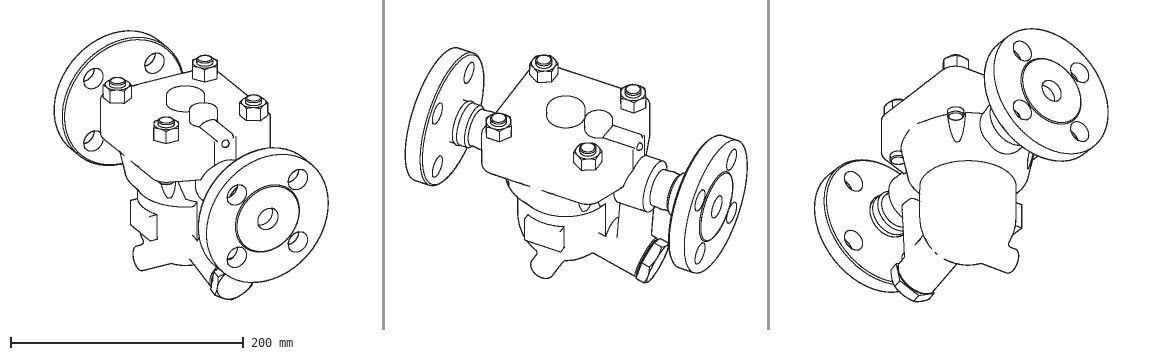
import cadquery as cq
import math


inlet_face_x = -125.5
outlet_face_x = 145.5
flange_diameter = 120.0
flange_thickness = 16.0
flange_chamfer = 1.5
raised_height = 1.0
raised_base_diameter = 63.0
raised_face_diameter = 61.0
bolt_circle_diameter = 85.0
flange_hole_count = 4
first_hole_angle = 45
flange_hole_diameter = 19.0
bore_diameter = 20.0
bore_depth = 10.0
hub_diameter = 38.0
hub_fillet = 4.0
hub_bead_height = 1.0
neck_diameter = 33.0
neck_bead_height = 0.6
port_diameter = 46.0
hub_bead_start, hub_bead_end = 25.7, 29.8
hub_end, neck_start = 37.4, 39.7
neck_bead_start, neck_bead_end = 44.6, 51.4
neck_end, port_start = 56.1, 59.5
outlet_port_inner_x = 57.0
outlet_port_fillet = 2.0

bolt_offset = 43.0
bolt_sites = [(sx * bolt_offset, sy * bolt_offset) for sx in (-1, 1) for sy in (-1, 1)]
corner_radius = 14.5
plate_half_width = bolt_offset + corner_radius
plate_right_x = 70.2
plate_side_angle = math.radians(20)
plate_top_z = 44.0
plate_bottom_z = 6.7
plate_top_fillet = 1.5
plate_bottom_fillet = 2.9
undercut_start_z = 20.5
undercut_angle = math.radians(19)

bolt_diameter = 14.0
bolt_top_z = 60.6
bolt_bottom_z = 1.2
bolt_chamfer = 1.0
nut_across_flats = 21.2
nut_height = 12.6
nut_chamfer_angle = math.radians(30)

bowl_radius = 41.5
dome_center_z = -63.0
shoulder_radius = 52.0
shoulder_top_z = -19.0
shoulder_bottom_z = -32.0
shoulder_fillet = 1.5
throat_radius = plate_half_width
throat_clip_x = 45.5
bolt_clearance_radius = 8.9
rib_half_width = 14.0
rib_fillet = 3.0

pad_width = 35.0
pad_top_z = -43.3
pad_bottom_z = -67.0
pad_face_y = -44.7
pad_fillet = 0.6

drain_diameter = 22.0
drain_axis_z = -91.3
drain_face_y = -46.2
drain_fillet = 1.2
drain_root_fillet = 3.0

strainer_angle = 15.0
strainer_diameter = 38.0
strainer_length = 81.0
strainer_chamfer = 1.0
strainer_root_fillet = 4.0
cap_across_flats = 35.9
cap_end = 91.5
cap_chamfer_angle = math.radians(30)
cap_neck_diameter = 34.0
cap_gap = 1.0
riser_length_x = 22.5
riser_half_width = 16.0
riser_corner_radius = 6.5
riser_root_fillet = 2.0
riser_tilt = 4.0
riser_top_x = 70.4
riser_length = 75.0

cap_boss_diameter = 24.0
cap_boss_x = 31.6
fitting_top_z = 56.1
cap_boss_fillet = 1.8
passage_radius = 9.0
passage_axis_z = 41.2
passage_end_fillet = 1.5
stud_radius = 3.4
stud_z = 39.3
disc_diameter = 33.0
disc_bottom_z = 47.1
disc_fillet = 1.8

riser_root = cq.selectors.BoxSelector((50, -20, -80), (84, 20, -60))
strainer_root = cq.selectors.BoxSelector((30, -20, -85), (45, 20, -55))
drain_root = cq.NearestToPointSelector((0, -26.5, -91.8))


def cylinder_z(x, y, bottom_z, top_z, diameter):
    height = top_z - bottom_z
    return cq.Workplane("XY", origin=(x, y, bottom_z)).circle(diameter / 2).extrude(height)


def chamfered_hex(plane, across_flats, length, chamfer_angle):
    """Hexagon prism with a corner on the plane's X direction and its far end bevelled by a cone."""
    flat_radius = across_flats / 2
    corner_radius_hex = flat_radius / math.cos(math.pi / 6)
    prism = cq.Workplane(plane).polygon(6, 2 * corner_radius_hex).extrude(length)
    reach = 2 * corner_radius_hex
    cone_low = length - (reach - flat_radius) * math.tan(chamfer_angle)
    profile = [(0, -reach), (reach, -reach), (reach, cone_low), (flat_radius, length), (0, length)]
    envelope = cq.Workplane("XZ").polyline(profile).close().revolve(360, (0, 0), (0, 1))
    placed = cq.Workplane(envelope.val().moved(cq.Location(plane)))
    return prism.intersect(placed)


def pipe_end(face_x, inward, inner_x):
    """Flange, beaded neck and port, turned about the pipe axis."""
    def station(distance):
        return face_x + inward * distance

    flange_back = raised_height + flange_thickness
    hub_r = hub_diameter / 2
    neck_r = neck_diameter / 2
    flange_r = flange_diameter / 2
    fillet_reach = hub_fillet * (1 - math.sqrt(0.5))
    profile = (
        cq.Workplane("XY")
        .moveTo(face_x, 0)
        .lineTo(face_x, raised_face_diameter / 2)
        .lineTo(station(raised_height), raised_base_diameter / 2)
        .lineTo(station(raised_height), flange_r)
        .lineTo(station(flange_back - flange_chamfer), flange_r)
        .lineTo(station(flange_back), flange_r - flange_chamfer)
        .lineTo(station(flange_back), hub_r + hub_fillet)
        .threePointArc(
            (station(flange_back + fillet_reach), hub_r + fillet_reach),
            (station(flange_back + hub_fillet), hub_r),
        )
        .lineTo(station(hub_bead_start), hub_r)
        .threePointArc(
            (station((hub_bead_start + hub_bead_end) / 2), hub_r + hub_bead_height),
            (station(hub_bead_end), hub_r),
        )
        .lineTo(station(hub_end), hub_r)
        .lineTo(station(neck_start), neck_r)
        .lineTo(station(neck_bead_start), neck_r)
        .threePointArc(
            (station((neck_bead_start + neck_bead_end) / 2), neck_r + neck_bead_height),
            (station(neck_bead_end), neck_r),
        )
        .lineTo(station(neck_end), neck_r)
        .lineTo(station(port_start), port_diameter / 2)
        .lineTo(inner_x, port_diameter / 2)
        .lineTo(inner_x, 0)
        .close()
    )
    turned = profile.revolve(360, (0, 0), (1, 0))
    face = cq.Workplane(cq.Plane(origin=(face_x, 0, 0), xDir=(0, 1, 0), normal=(inward, 0, 0)))
    bore = face.circle(bore_diameter / 2).extrude(bore_depth)
    holes = (
        face.polarArray(bolt_circle_diameter / 2, first_hole_angle, 360, flange_hole_count)
        .circle(flange_hole_diameter / 2)
        .extrude(flange_back)
    )
    return turned.cut(bore).cut(holes)


def plate():
    """Cover and bowl flange: square on the inlet side, tapering to the outlet side."""
    diagonal = corner_radius * math.sqrt(0.5)
    tangent_x = bolt_offset + corner_radius * math.cos(plate_side_angle)
    tangent_y = bolt_offset + corner_radius * math.sin(plate_side_angle)
    nose_y = tangent_y - (plate_right_x - tangent_x) / math.tan(plate_side_angle)
    arc_angle = (math.pi / 2 + plate_side_angle) / 2
    arc_x = bolt_offset + corner_radius * math.cos(arc_angle)
    arc_y = bolt_offset + corner_radius * math.sin(arc_angle)
    left = -plate_half_width
    inset = bolt_offset + diagonal
    body = (
        cq.Workplane("XY", origin=(0, 0, plate_bottom_z))
        .moveTo(left, -bolt_offset)
        .lineTo(left, bolt_offset)
        .threePointArc((-inset, inset), (-bolt_offset, plate_half_width))
        .lineTo(bolt_offset, plate_half_width)
        .threePointArc((arc_x, arc_y), (tangent_x, tangent_y))
        .lineTo(plate_right_x, nose_y)
        .lineTo(plate_right_x, -nose_y)
        .lineTo(tangent_x, -tangent_y)
        .threePointArc((arc_x, -arc_y), (bolt_offset, -plate_half_width))
        .lineTo(-bolt_offset, -plate_half_width)
        .threePointArc((-inset, -inset), (left, -bolt_offset))
        .close()
        .extrude(plate_top_z - plate_bottom_z)
    )
    body = body.faces(">Z").edges().fillet(plate_top_fillet)
    body = body.faces("<Z").edges().fillet(plate_bottom_fillet)
    undercut_run = undercut_start_z * math.tan(undercut_angle)
    undercut = (
        cq.Workplane("XZ")
        .moveTo(plate_right_x, undercut_start_z)
        .lineTo(plate_right_x + 1, undercut_start_z)
        .lineTo(plate_right_x + 1, 0)
        .lineTo(plate_right_x - undercut_run, 0)
        .close()
        .extrude(plate_half_width, both=True)
    )
    return body.cut(undercut)


def bowl():
    """Domed bowl with a conical shoulder and a throat widening to the plate."""
    diagonal = bowl_radius * math.sqrt(0.5)
    throat_top_z = plate_bottom_z + plate_bottom_fillet
    shell = (
        cq.Workplane("XZ")
        .moveTo(0, dome_center_z - bowl_radius)
        .threePointArc((diagonal, dome_center_z - diagonal), (bowl_radius, dome_center_z))
        .lineTo(bowl_radius, shoulder_bottom_z)
        .lineTo(shoulder_radius, shoulder_top_z)
        .lineTo(throat_radius, plate_bottom_z)
        .lineTo(throat_radius, throat_top_z)
        .lineTo(0, throat_top_z)
        .close()
        .revolve(360, (0, 0), (0, 1))
    )
    shoulder_rim = cq.NearestToPointSelector((-shoulder_radius, 0, shoulder_top_z))
    body = shell.edges("%CIRCLE").edges(shoulder_rim).fillet(shoulder_fillet)
    for x, y in bolt_sites:
        clearance = cylinder_z(x, y, shoulder_top_z, plate_bottom_z, 2 * bolt_clearance_radius)
        body = body.cut(clearance)
    clip_height = plate_bottom_z - shoulder_bottom_z
    clip = cq.Workplane("XY", origin=(throat_clip_x, 0, shoulder_bottom_z)).box(
        bowl_radius, 4 * bowl_radius, clip_height, centered=(False, True, False)
    )
    return body.cut(clip)


def rib():
    """Flat rib down the outlet side of the bowl, blended into it on both sides."""
    blend_center_y = rib_half_width + rib_fillet
    blend_center_x = math.sqrt((bowl_radius + rib_fillet) ** 2 - blend_center_y ** 2)
    contact_scale = bowl_radius / (bowl_radius + rib_fillet)
    contact_x = blend_center_x * contact_scale
    contact_y = blend_center_y * contact_scale
    half_turn = (math.atan2(blend_center_y, blend_center_x) + 2.5 * math.pi) / 2
    mid_x = blend_center_x + rib_fillet * math.cos(half_turn)
    mid_y = blend_center_y + rib_fillet * math.sin(half_turn)
    return (
        cq.Workplane("XY", origin=(0, 0, dome_center_z))
        .moveTo(0, contact_y)
        .lineTo(contact_x, contact_y)
        .threePointArc((mid_x, mid_y), (blend_center_x, rib_half_width))
        .lineTo(throat_clip_x, rib_half_width)
        .lineTo(throat_clip_x, -rib_half_width)
        .lineTo(blend_center_x, -rib_half_width)
        .threePointArc((mid_x, -mid_y), (contact_x, -contact_y))
        .lineTo(0, -contact_y)
        .close()
        .extrude(shoulder_top_z - dome_center_z)
    )


def name_pad():
    return (
        cq.Workplane("XY", origin=(0, pad_face_y, pad_bottom_z))
        .box(pad_width, -pad_face_y, pad_top_z - pad_bottom_z, centered=(True, False, False))
        .faces("<Y").edges().fillet(pad_fillet)
    )


def drain_boss():
    return (
        cq.Workplane("XZ", origin=(0, 0, drain_axis_z))
        .circle(drain_diameter / 2)
        .extrude(-drain_face_y)
        .faces("<Y").edges().fillet(drain_fillet)
    )


def strainer_plane(distance):
    """Plane square to the strainer axis, its X direction pointing upwards."""
    angle = math.radians(strainer_angle)
    along = (math.cos(angle), 0, -math.sin(angle))
    across = (math.sin(angle), 0, math.cos(angle))
    origin = (along[0] * distance, 0, dome_center_z + along[2] * distance)
    return cq.Plane(origin=origin, xDir=across, normal=along)


def strainer_tube():
    """Tube sloping down from the dome centre towards the outlet side."""
    return (
        cq.Workplane(strainer_plane(0))
        .circle(strainer_diameter / 2)
        .extrude(strainer_length)
        .faces(">X").edges().chamfer(strainer_chamfer)
    )


def strainer_cap():
    """Hexagon cap on a short round neck, with one corner pointing up."""
    neck = cq.Workplane(strainer_plane(strainer_length)).circle(cap_neck_diameter / 2).extrude(cap_gap)
    cap_start = strainer_length + cap_gap
    cap = chamfered_hex(strainer_plane(cap_start), cap_across_flats, cap_end - cap_start, cap_chamfer_angle)
    return neck.union(cap)


def riser():
    """Rounded passage from the strainer tube up to the outlet port."""
    return (
        cq.Workplane("XY")
        .rect(riser_length_x, 2 * riser_half_width)
        .extrude(-riser_length)
        .edges("|Z").fillet(riser_corner_radius)
        .rotate((0, 0, 0), (0, 1, 0), riser_tilt)
        .translate((riser_top_x, 0, 0))
    )


def bolt_and_nut(x, y):
    """Stud through the plate with its nut; nuts on one diagonal are turned by 90 degrees."""
    bolt = cylinder_z(x, y, bolt_bottom_z, bolt_top_z, bolt_diameter)
    bolt = bolt.faces("<Z or >Z").edges().chamfer(bolt_chamfer)
    corner_direction = (1, 0, 0) if x * y > 0 else (0, 1, 0)
    seat = cq.Plane(origin=(x, y, plate_top_z), xDir=corner_direction, normal=(0, 0, 1))
    nut = chamfered_hex(seat, nut_across_flats, nut_height, nut_chamfer_angle)
    return bolt.union(nut)


def top_passage():
    """Round cap boss, the passage running from it to the outlet side, and a small stud."""
    boss = cylinder_z(cap_boss_x, 0, plate_bottom_z + plate_top_z / 2, fitting_top_z, cap_boss_diameter)
    boss = boss.faces(">Z").edges().fillet(cap_boss_fillet)
    passage = (
        cq.Workplane("YZ", origin=(cap_boss_x, 0, passage_axis_z))
        .circle(passage_radius)
        .extrude(plate_right_x - cap_boss_x)
        .faces(">X").edges().fillet(passage_end_fillet)
    )
    stud = cq.Workplane("XY", origin=(plate_right_x, 0, stud_z)).sphere(stud_radius)
    return boss.union(passage).union(stud)


def trap_body():
    """Bowl, plate, pipe ends, strainer and bolting as one solid."""
    branch = strainer_tube().union(riser())
    branch = branch.edges(riser_root).fillet(riser_root_fillet)
    lower = bowl().union(branch)
    lower = lower.edges(strainer_root).fillet(strainer_root_fillet)
    lower = lower.union(drain_boss())
    lower = lower.edges(drain_root).fillet(drain_root_fillet)
    lower = lower.union(rib()).union(strainer_cap()).union(name_pad())
    outlet = pipe_end(outlet_face_x, -1, outlet_port_inner_x)
    outlet = outlet.faces("<X").edges().fillet(outlet_port_fillet)
    body = lower.union(plate()).union(pipe_end(inlet_face_x, 1, 0)).union(outlet)
    body = body.union(top_passage())
    for x, y in bolt_sites:
        body = body.union(bolt_and_nut(x, y))
    return body


def top_disc():
    """Loose disc standing clear above the centre of the cover."""
    disc = cylinder_z(0, 0, disc_bottom_z, fitting_top_z, disc_diameter)
    return disc.faces(">Z").edges().fillet(disc_fillet)


housing = trap_body()
cover_disc = top_disc()
result = cq.Compound.makeCompound([*housing.solids().vals(), cover_disc.val()])